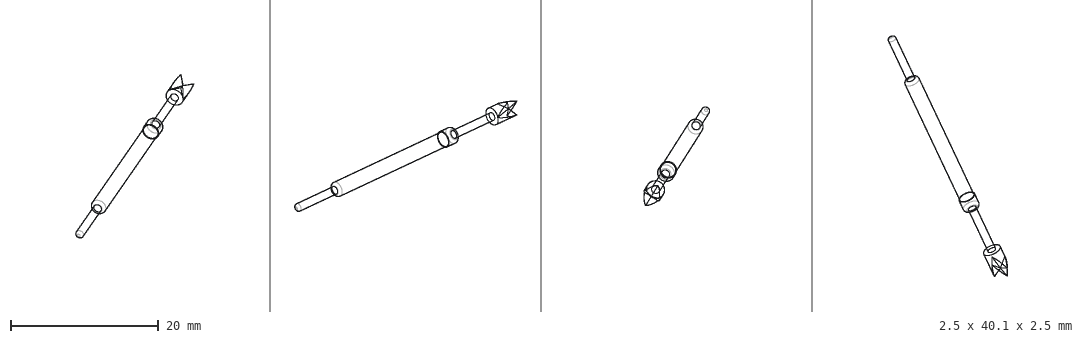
import cadquery as cq
import math

total_length = 40.1
crown_radius = 1.25
crown_length = 4.0
crown_points = 3
crown_centre_depth = 0.95
crown_valley_depth = 2.4

pin_radius = 0.55
tail_round = 0.35

collar_radius = 1.15
collar_front_depth = 11.05
collar_length = 1.92
barrel_radius = 1.05
barrel_end_depth = 33.0
edge_round = 0.4

tail_y = -total_length / 2
tip_y = total_length / 2
crown_base_y = tip_y - crown_length
collar_front_y = tip_y - collar_front_depth
collar_back_y = collar_front_y - collar_length
barrel_end_y = tip_y - barrel_end_depth


def make_cylinder(radius, start_y, end_y):
    """Solid cylinder on the Y axis."""
    return cq.Workplane("XZ", origin=(0, end_y, 0)).circle(radius).extrude(end_y - start_y)


def make_body():
    """Pin, barrel, collar and uncut crown."""
    pin = make_cylinder(pin_radius, tail_y, crown_base_y)
    pin = pin.faces("<Y").edges().fillet(tail_round)
    barrel = make_cylinder(barrel_radius, barrel_end_y, collar_back_y)
    barrel = barrel.faces("<Y").edges().fillet(edge_round)
    collar = make_cylinder(collar_radius, collar_back_y, collar_front_y)
    collar = collar.faces(">Y").edges().fillet(edge_round)
    crown = make_cylinder(crown_radius, crown_base_y, tip_y)
    return pin.union(barrel).union(collar).union(crown)


def make_valley_cutter(valley_angle):
    """Wedge between two crown points, with a floor sloping down outwards."""
    reach = 3.0
    centre_y = tip_y - crown_centre_depth
    half_pitch = math.pi / crown_points

    def ray_end(angle, depth):
        """Extend the line from the crown centre to a point on its rim."""
        rise = crown_centre_depth - depth
        return cq.Vector(
            reach * crown_radius * math.cos(angle),
            centre_y + reach * rise,
            reach * crown_radius * math.sin(angle),
        )

    centre = cq.Vector(0, centre_y, 0)
    roof = cq.Vector(0, tip_y + crown_length, 0)
    first_tip = ray_end(valley_angle - half_pitch, 0)
    second_tip = ray_end(valley_angle + half_pitch, 0)
    valley = ray_end(valley_angle, crown_valley_depth)
    triangles = [
        (centre, first_tip, valley),
        (centre, valley, second_tip),
        (first_tip, second_tip, valley),
        (roof, second_tip, first_tip),
        (roof, first_tip, centre),
        (roof, centre, second_tip),
    ]
    faces = [
        cq.Face.makeFromWires(cq.Wire.makePolygon(corners, close=True))
        for corners in triangles
    ]
    return cq.Workplane(cq.Solid.makeSolid(cq.Shell.makeShell(faces)))


result = make_body()
for index in range(crown_points):
    result = result.cut(make_valley_cutter((2 * index + 1) * math.pi / crown_points))